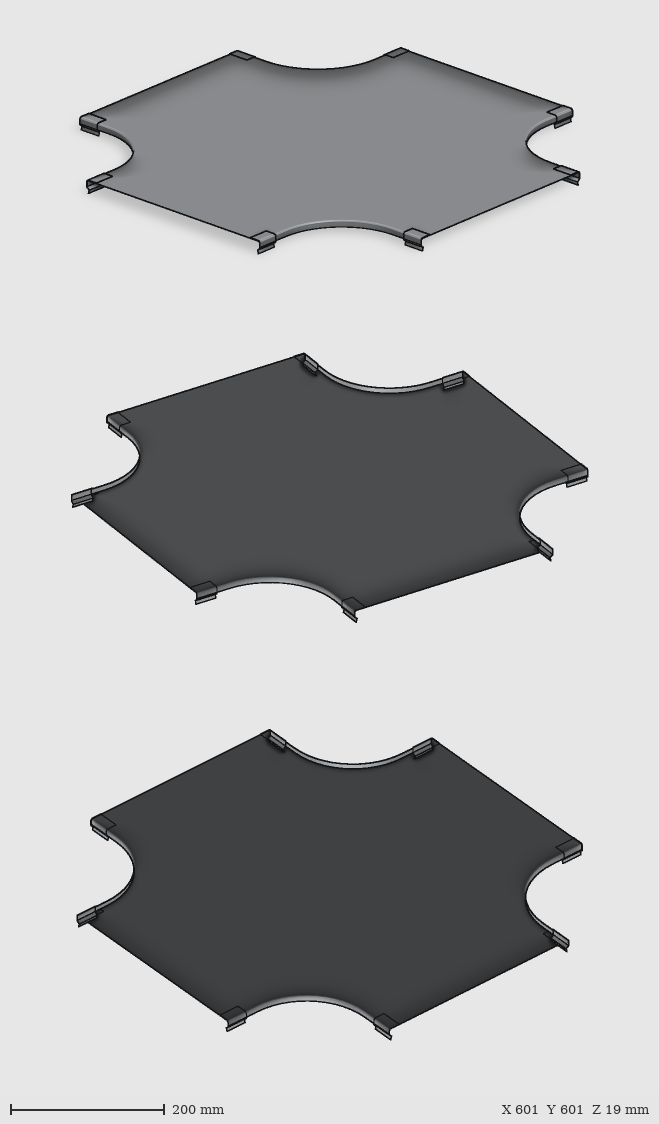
import cadquery as cq
import math

span = 601.0
height = 19.0

sheet = 0.8
bend_radius = 2.7

half_span = span / 2
tray_half_width = 152.0
corner_radius = 98.0
flange_depth = 9.0
tray_top = height - sheet
flange_bottom = tray_top - flange_depth

clip_length = 30.5
pad_width = 17.5
heel_drop = 0.85
heel_radius = 2.0
hook_inset = 4.0
hook_drop = 4.0
tip_inset = 2.7


def cross_block(half_width, inner_radius, edge_radius, reach, top):
    """Solid cross from the flange's lower edge up, with rounded inner corners and upper side edges."""
    depth = top - flange_bottom
    arm_along_x = cq.Workplane("XY").box(2 * reach, 2 * half_width, depth)
    arm_along_y = cq.Workplane("XY").box(2 * half_width, 2 * reach, depth)
    block = arm_along_x.union(arm_along_y).translate((0, 0, flange_bottom + depth / 2))

    corner_zone = cq.selectors.BoxSelector(
        (-half_width - sheet, -half_width - sheet, flange_bottom),
        (half_width + sheet, half_width + sheet, top),
    )
    block = block.edges("|Z").edges(corner_zone).fillet(inner_radius)

    side_limit = reach - sheet
    side_zone = cq.selectors.BoxSelector(
        (-side_limit, -side_limit, flange_bottom), (side_limit, side_limit, top + sheet)
    )
    return block.faces(">Z").edges(side_zone).fillet(edge_radius)


def make_tray():
    """Flat cross whose sides bend down into a flange; the arm ends stay open."""
    outside = cross_block(tray_half_width, corner_radius, bend_radius, half_span, tray_top)
    inside = cross_block(
        tray_half_width - sheet,
        corner_radius + sheet,
        bend_radius - sheet,
        half_span + sheet,
        tray_top - sheet,
    )
    return outside.cut(inside)


def outer_face(inner_face):
    """Path one sheet thickness to the left of the given path, with mitred corners."""
    headings = [
        math.atan2(end[1] - start[1], end[0] - start[0])
        for start, end in zip(inner_face, inner_face[1:])
    ]
    points = []
    for (x, z), before, after in zip(inner_face, headings[:1] + headings, headings + headings[-1:]):
        mitre_heading = (before + after) / 2
        mitre_length = sheet / math.cos((after - before) / 2)
        sideways = mitre_length * math.sin(mitre_heading)
        upward = mitre_length * math.cos(mitre_heading)
        points.append((x - sideways, z + upward))
    return points


def fillet_long_edge(clip, corner, radius):
    """Round the clip's lengthwise edge that runs through the given corner of its section."""
    edge_middle = (corner[0], -half_span + clip_length / 2, corner[1])
    return clip.edges(cq.selectors.NearestToPointSelector(edge_middle)).fillet(radius)


def make_clip():
    """Clip on the -X side of the -Y arm: a pad on the plate, a leg down the flange and a hook below."""
    flange_x = -tray_half_width
    tip = (flange_x + tip_inset, 0)
    hook = (flange_x + hook_inset, flange_bottom - hook_drop)
    heel = (flange_x, flange_bottom - heel_drop)
    shoulder = (flange_x, tray_top)
    pad_end = (flange_x - sheet + pad_width, tray_top)

    inner_face = [tip, hook, heel, shoulder, pad_end]
    outer_path = outer_face(inner_face)
    outer_heel, outer_shoulder = outer_path[2:4]
    section = inner_face + outer_path[::-1]
    clip = cq.Workplane("XZ", origin=(0, -half_span, 0)).polyline(section).close().extrude(-clip_length)

    clip = fillet_long_edge(clip, outer_shoulder, bend_radius + sheet)
    clip = fillet_long_edge(clip, shoulder, bend_radius)
    clip = fillet_long_edge(clip, outer_heel, heel_radius + sheet)
    return fillet_long_edge(clip, heel, heel_radius)


def make_clips():
    """A mirrored pair of clips on each of the four arms."""
    clip = make_clip()
    pair = [clip, clip.mirror("YZ")]
    clips = []
    for turn in (0, 90, 180, 270):
        for side_clip in pair:
            clips.append(side_clip.rotate((0, 0, 0), (0, 0, 1), turn).val())
    return clips


tray = make_tray()
clips = make_clips()
result = cq.Compound.makeCompound([tray.val(), *clips])